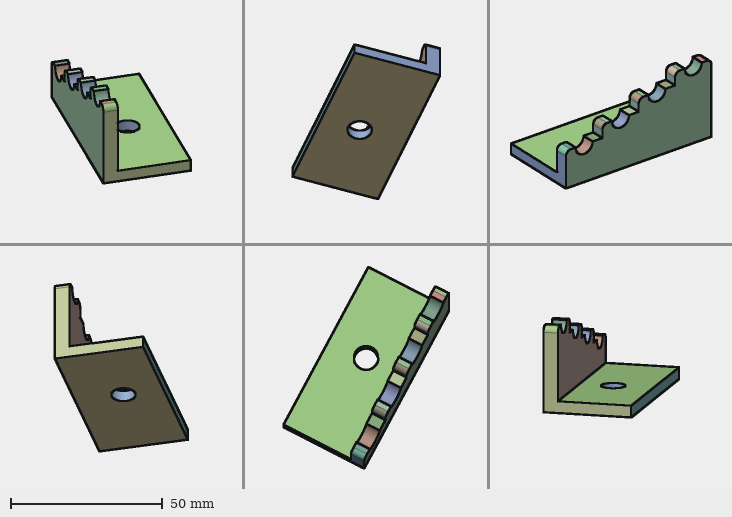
import cadquery as cq

length = 60.0
depth = 30.0
height = 29.0

base_thickness = 4.0
wall_thickness = 5.0
step_count = 4
step_length = length / step_count
step_rise = 5.0
corner_radius = 2.0

cradle_diameter = 7.0
cradle_offset = step_length / 2

hole_diameter = 8.0
hole_x = 32.5
hole_y = 16.4


def step_top(index):
    """Height of a step, counted from the lowest one."""
    return height - (step_count - 1 - index) * step_rise


def make_base():
    plate = cq.Workplane("XY").box(length, depth, base_thickness, centered=False)
    hole = cq.Workplane("XY").center(hole_x, hole_y).circle(hole_diameter / 2).extrude(base_thickness)
    return plate.cut(hole)


def make_step(index):
    """One full-height block of the wall, with rounded outer corners and a cradle."""
    left = index * step_length
    top = step_top(index)
    block = (
        cq.Workplane("XY")
        .box(step_length, wall_thickness, top, centered=False)
        .translate((left, 0, 0))
    )
    block = block.edges("|Y").edges(">Z").edges("<X").fillet(corner_radius)
    if index == step_count - 1:
        block = block.edges(cq.selectors.NearestToPointSelector((length, wall_thickness / 2, top)))
        block = block.fillet(corner_radius)
    cradle = (
        cq.Workplane("XZ")
        .center(left + cradle_offset, top)
        .circle(cradle_diameter / 2)
        .extrude(-wall_thickness)
    )
    return block.cut(cradle)


result = make_base()
for step_index in range(step_count):
    result = result.union(make_step(step_index))
result = result.clean()